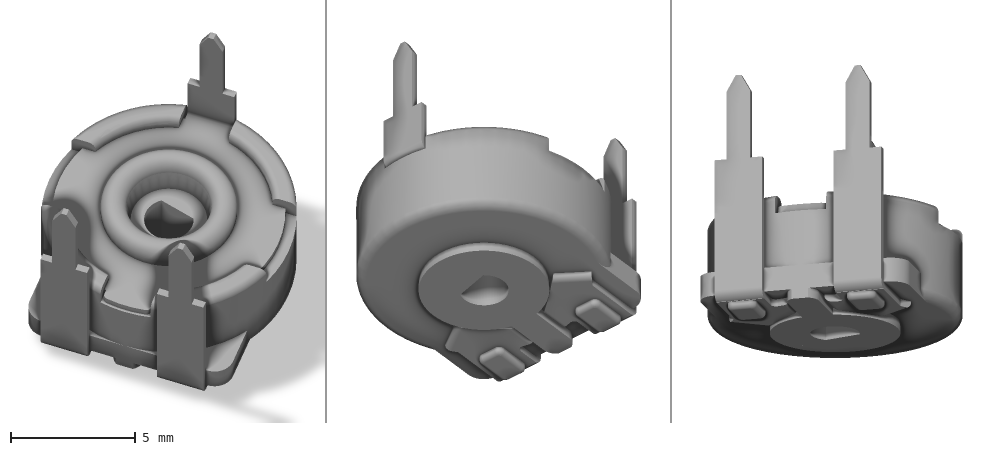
import cadquery as cq
import math

drum_diameter = 10.3
drum_radius = drum_diameter / 2
drum_height = 3.3
drum_bottom_fillet = 0.4

flange_width = 8.75
flange_height = 1.0
flange_corner_radius = 0.8

boss_radius = 2.64
boss_depth = 0.4
lug_radius = 0.65
lug_end_y = -4.6

sheet = 0.3
bend_outer_radius = 0.4
bend_inner_radius = bend_outer_radius - sheet

plate_radius = 4.7
plate_top = drum_height + sheet
rim_top = 4.1
rim_inner_radius = 4.2
rim_edge_fillet = 0.3
side_notch_width = 3.52
tab_notch_width = 2.15

terminal_pitch = 5.0
blade_width = 2.0
shoulder_z = 5.6
pin_width = 1.0
taper_start_z = 8.43
tip_width = 0.22
tip_z = 9.11

tab_radius = 5.05
tab_corner_radius = 0.2
back_overhang = 0.03

neck_fillet = 0.21
tab_tip_fillet = 0.25
bump_width = 1.2
bump_length = 1.76
bump_front_y = -5.1
bump_bottom = -0.61
bump_corner_radius = 0.25
bump_bottom_fillet = 0.18

head_radius = 2.75
head_top = 4.4
ring_fillet = 0.5
ring_crest_width = 0.04
dish_floor_radius = 1.54
dish_floor_z = 3.04
stem_radius = 2.13
shaft_hole_radius = 1.0
shaft_flat_offset = 0.61
shaft_flat_tilt = -15


def disc(radius, bottom, top):
    return cq.Workplane("XY").workplane(offset=bottom).circle(radius).extrude(top - bottom)


def block(width, length, bottom, top, y=0):
    return (
        cq.Workplane("XY").workplane(offset=bottom)
        .center(0, y).rect(width, length).extrude(top - bottom)
    )


def make_flange():
    flange = block(flange_width, drum_radius, 0, flange_height, -drum_radius / 2)
    return flange.edges("|Z").edges("<Y").fillet(flange_corner_radius)


def make_rim():
    rim = disc(drum_radius, drum_height, rim_top).cut(disc(rim_inner_radius, drum_height, rim_top))
    rim = rim.faces(">Z").edges().fillet(rim_edge_fillet)
    rim = rim.cut(disc(plate_radius, drum_height, plate_top))
    side_notches = block(drum_diameter, side_notch_width, drum_height, rim_top)
    tab_notches = block(tab_notch_width, drum_diameter, drum_height, rim_top)
    return rim.cut(side_notches).cut(tab_notches)


def make_bottom_boss():
    lug = block(2 * lug_radius, -lug_end_y, -boss_depth, 0, lug_end_y / 2)
    lug_end = disc(lug_radius, -boss_depth, 0).translate((0, lug_end_y, 0))
    flush_zone = block(drum_diameter, drum_diameter, -boss_depth, 0)
    return disc(boss_radius, -boss_depth, 0).union(lug).union(lug_end.intersect(flush_zone))


def make_housing():
    drum = disc(drum_radius, 0, drum_height).faces("<Z").edges().fillet(drum_bottom_fillet)
    housing = drum.union(make_flange()).union(make_rim()).union(make_bottom_boss())
    return housing.cut(disc(stem_radius, -boss_depth, drum_height))


def make_blade(outer_y, bottom):
    """Upright strip with a narrow pointed pin, its front face at y = outer_y."""
    outline = [
        (blade_width / 2, bottom),
        (blade_width / 2, shoulder_z),
        (pin_width / 2, shoulder_z),
        (pin_width / 2, taper_start_z),
        (tip_width / 2, tip_z),
    ]
    mirrored = [(-x, z) for x, z in reversed(outline)]
    return cq.Workplane("XZ", origin=(0, outer_y, 0)).polyline(outline + mirrored).close().extrude(-sheet)


def make_foot():
    """Foot of the terminal on the -X side, with x = 0 on the blade centreline.

    A straight neck runs back from the blade and ends in two tabs with rounded tips:
    one points back past the boss, the other points sideways at the lug.
    """
    half_width = blade_width / 2
    back_tab_tip = [(-1.32, -2.19), (-0.04, -1.31)]
    lug_tab_tip = [(1.8, -2.95), (1.78, -4.1)]
    neck_end = (-half_width, -2.64)
    neck_corner = (half_width, -3.9)
    outline = [
        (-half_width, -drum_radius),
        neck_end,
        *back_tab_tip,
        *lug_tab_tip,
        neck_corner,
        (half_width, -drum_radius),
    ]
    foot = cq.Workplane("XY").workplane(offset=-sheet).polyline(outline).close().extrude(sheet)
    neck_edge = cq.selectors.NearestToPointSelector((*neck_corner, -sheet / 2))
    foot = foot.edges(neck_edge).fillet(neck_fillet)
    for start, end in (back_tab_tip, lug_tab_tip):
        middle = ((start[0] + end[0]) / 2, (start[1] + end[1]) / 2, -sheet)
        foot = foot.edges(cq.selectors.NearestToPointSelector(middle)).fillet(tab_tip_fillet)
    return foot


def make_bump():
    bump = block(bump_width, bump_length, bump_bottom, -sheet, bump_front_y + bump_length / 2)
    bump = bump.edges("|Z").fillet(bump_corner_radius)
    return bump.faces("<Z").edges().fillet(bump_bottom_fillet)


def make_end_terminal(side):
    """End terminal at x = side * pitch / 2, with side = -1 or 1."""
    heel_length = 2 * sheet
    heel = block(blade_width, heel_length, -sheet, 0, -drum_radius)
    bent_blade = make_blade(-drum_radius - sheet, -sheet).union(heel)
    bent_blade = bent_blade.edges("|X").edges("<Z").edges("<Y").fillet(bend_outer_radius)
    terminal = bent_blade.union(make_foot()).union(make_bump())
    if side > 0:
        terminal = terminal.mirror("YZ")
    return terminal.translate((side * terminal_pitch / 2, 0, 0))


def make_wiper_contact():
    """Round contact plate with a free front tab and a back tab bent up into the middle blade."""
    front_tab = block(blade_width, drum_diameter, drum_height, plate_top, -drum_diameter / 2)
    front_tab = front_tab.intersect(disc(tab_radius, drum_height, plate_top))
    front_tab = front_tab.edges("|Z").edges("<Y").fillet(tab_corner_radius)
    back_y = drum_radius + back_overhang
    back_tab = block(blade_width, back_y, drum_height, plate_top, back_y / 2)
    bent_tab = back_tab.union(make_blade(back_y - sheet, drum_height))
    bent_tab = bent_tab.edges("|X").edges("<Z").edges(">Y").fillet(bend_outer_radius)
    inner_bend = cq.selectors.NearestToPointSelector((0, back_y - sheet, plate_top))
    bent_tab = bent_tab.edges(inner_bend).fillet(bend_inner_radius)
    contact = disc(plate_radius, drum_height, plate_top).union(front_tab).union(bent_tab)
    return contact.cut(disc(stem_radius, drum_height, plate_top))


def make_rotor():
    crest_outer = head_radius - ring_fillet
    crest_inner = crest_outer - ring_crest_width
    dish_radius = crest_inner - ring_fillet
    arc_z = head_top - ring_fillet
    arc_step = ring_fillet * math.sqrt(0.5)
    profile = (
        cq.Workplane("XZ")
        .moveTo(0, -boss_depth)
        .lineTo(stem_radius, -boss_depth)
        .lineTo(stem_radius, plate_top)
        .lineTo(head_radius, plate_top)
        .lineTo(head_radius, arc_z)
        .threePointArc((crest_outer + arc_step, arc_z + arc_step), (crest_outer, head_top))
        .lineTo(crest_inner, head_top)
        .threePointArc((crest_inner - arc_step, arc_z + arc_step), (dish_radius, arc_z))
        .lineTo(dish_floor_radius, dish_floor_z)
        .lineTo(0, dish_floor_z)
        .close()
    )
    rotor = profile.revolve(360, (0, 0, 0), (0, 1, 0))
    return rotor.cut(make_shaft_hole())


def make_shaft_hole():
    """D-shaped hole through the rotor, its flat turned about the Z axis."""
    keep_length = shaft_hole_radius + shaft_flat_offset
    keep_y = (shaft_flat_offset - shaft_hole_radius) / 2
    keep = block(2 * shaft_hole_radius, keep_length, -boss_depth, dish_floor_z, keep_y)
    hole = disc(shaft_hole_radius, -boss_depth, dish_floor_z).intersect(keep)
    return hole.rotate((0, 0, 0), (0, 0, 1), shaft_flat_tilt)


housing = make_housing()
wiper_contact = make_wiper_contact()
rotor = make_rotor()
end_terminals = [make_end_terminal(side) for side in (-1, 1)]

result = cq.Compound.makeCompound(
    [housing.val(), wiper_contact.val(), rotor.val(), *[terminal.val() for terminal in end_terminals]]
)